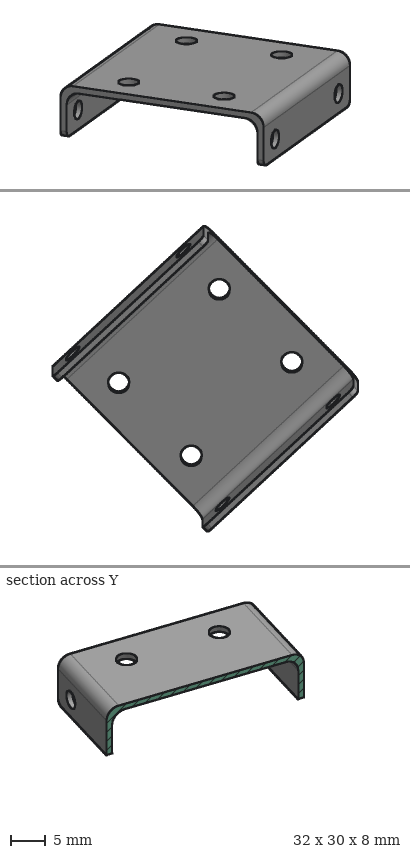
import cadquery as cq

width = 32.0
length = 30.0
height = 8.0
thickness = 1.0
outer_bend_radius = 2.0
inner_bend_radius = 2.0
flange_corner_radius = 1.0

web_hole_diameter = 3.0
web_hole_spacing_x = 15.0
web_hole_spacing_y = 20.0
flange_hole_diameter = 2.7
flange_hole_spacing = 22.0
flange_hole_height = 3.0


def rounded_block(block_width, block_height, bend_radius):
    """Full-length block standing on Z = 0 with its two long top edges rounded."""
    block = cq.Workplane("XY").box(block_width, length, block_height, centered=(True, True, False))
    return block.edges("|Y and >Z").fillet(bend_radius)


outside = rounded_block(width, height, outer_bend_radius)
inside = rounded_block(width - 2 * thickness, height - thickness, inner_bend_radius)
channel = outside.cut(inside)

channel = channel.faces("<Z").edges("|X").fillet(flange_corner_radius)

web_holes = (
    cq.Workplane("XY")
    .rect(web_hole_spacing_x, web_hole_spacing_y, forConstruction=True)
    .vertices()
    .circle(web_hole_diameter / 2)
    .extrude(height)
)

flange_holes = (
    cq.Workplane("YZ")
    .pushPoints([(side * flange_hole_spacing / 2, flange_hole_height) for side in (-1, 1)])
    .circle(flange_hole_diameter / 2)
    .extrude(width / 2, both=True)
)

result = channel.cut(web_holes).cut(flange_holes)